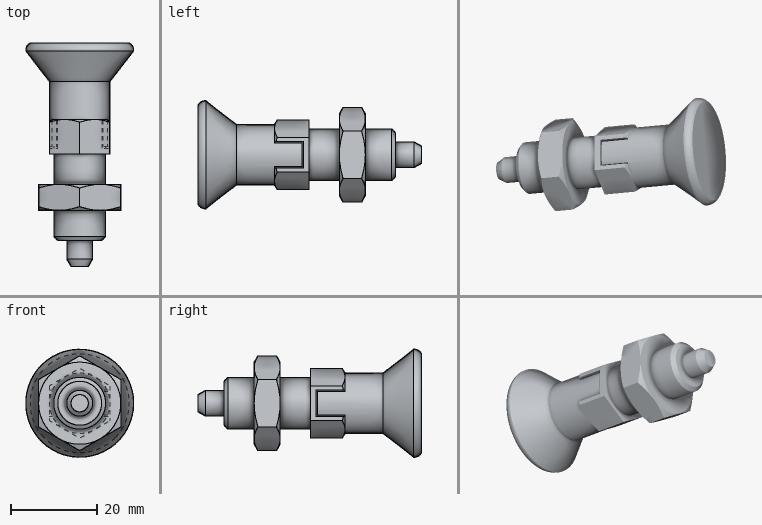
import cadquery as cq
import math


hex_sides = 6

body_diameter = 12.0
body_length = 20.0
body_chamfer = 0.92

pin_diameter = 6.0
pin_length = 6.0
pin_chamfer_depth = 1.0
pin_chamfer_angle = 30.0

collar_across_flats = 14.0
collar_length = 8.0
hex_chamfer_angle = 30.0

nut_across_flats = 19.0
nut_thickness = 6.0
nut_gap = 7.0

knob_diameter = 25.0
neck_diameter = 14.0
knob_back = 25.7
flare_length = 8.9
rim_length = 1.5
rim_drop = 1.05
rim_round = 2.0
rim_band = 0.3

tongue_width = 5.5
tongue_length = 6.3
tongue_clearance = 0.35


def revolve_about_y(sketch):
    """Turn a closed half profile, drawn as (radius, y), about the Y axis."""
    return sketch.close().revolve(360, (0, 0, 0), (0, 1, 0))


def chamfered_hexagon(across_flats, y_start, length, chamfer_front):
    """Hexagonal prism with flats at +-X; the corners are turned off at the back and optionally in front."""
    flat_radius = across_flats / 2
    half_sector = 180 / hex_sides
    corner_radius = flat_radius / math.cos(math.radians(half_sector))
    chamfer_length = (corner_radius - flat_radius) * math.tan(math.radians(hex_chamfer_angle))
    y_end = y_start + length

    prism = (
        cq.Workplane("XZ", origin=(0, y_start, 0))
        .transformed(rotate=(0, 0, half_sector))
        .polygon(hex_sides, 2 * corner_radius)
        .extrude(-length)
    )
    envelope = cq.Workplane("XY").moveTo(0, y_start)
    if chamfer_front:
        envelope = envelope.lineTo(flat_radius, y_start).lineTo(corner_radius, y_start + chamfer_length)
    else:
        envelope = envelope.lineTo(corner_radius, y_start)
    envelope = (
        envelope.lineTo(corner_radius, y_end - chamfer_length)
        .lineTo(flat_radius, y_end)
        .lineTo(0, y_end)
    )
    return prism.intersect(revolve_about_y(envelope))


def make_body_and_pin():
    """Body from the pin tip to the back of the collar."""
    body_radius = body_diameter / 2
    pin_radius = pin_diameter / 2
    tip_y = -body_length - pin_length
    pin_chamfer_length = pin_chamfer_depth / math.tan(math.radians(pin_chamfer_angle))
    profile = (
        cq.Workplane("XY")
        .moveTo(0, tip_y)
        .lineTo(pin_radius - pin_chamfer_depth, tip_y)
        .lineTo(pin_radius, tip_y + pin_chamfer_length)
        .lineTo(pin_radius, -body_length)
        .lineTo(body_radius - body_chamfer, -body_length)
        .lineTo(body_radius, -body_length + body_chamfer)
        .lineTo(body_radius, collar_length)
        .lineTo(0, collar_length)
    )
    return revolve_about_y(profile)


def make_knob():
    """Neck, flared cone and rounded rim behind the collar."""
    neck_radius = neck_diameter / 2
    rim_radius = knob_diameter / 2
    rim_y = knob_back - rim_length
    profile = (
        cq.Workplane("XY")
        .moveTo(0, collar_length)
        .lineTo(neck_radius, collar_length)
        .lineTo(neck_radius, knob_back - flare_length)
        .lineTo(rim_radius, rim_y - rim_band)
        .lineTo(rim_radius, rim_y)
        .radiusArc((rim_radius - rim_drop, knob_back), -rim_round)
        .lineTo(0, knob_back)
    )
    return revolve_about_y(profile)


def crosswise_bar(width, length):
    """Bar through both X sides of the collar, reaching forward from its back face."""
    return cq.Workplane("XY").box(knob_diameter, length, width).translate((0, collar_length - length / 2, 0))


def make_collar():
    """Hexagonal collar, slotted from the back on both X sides down to the body."""
    collar = chamfered_hexagon(collar_across_flats, 0, collar_length, chamfer_front=False)
    slot = crosswise_bar(tongue_width + 2 * tongue_clearance, tongue_length + tongue_clearance)
    return collar.cut(slot)


def make_tongues():
    """Tongues that continue the neck surface into the collar slots."""
    neck_core = cq.Workplane("XZ").circle(neck_diameter / 2).extrude(-collar_length)
    return neck_core.intersect(crosswise_bar(tongue_width, tongue_length))


def make_nut():
    """Lock nut around the body, chamfered on both faces."""
    nut_start = -nut_gap - nut_thickness
    return chamfered_hexagon(nut_across_flats, nut_start, nut_thickness, chamfer_front=True)


result = (
    make_body_and_pin()
    .union(make_collar())
    .union(make_tongues())
    .union(make_knob())
    .union(make_nut())
)